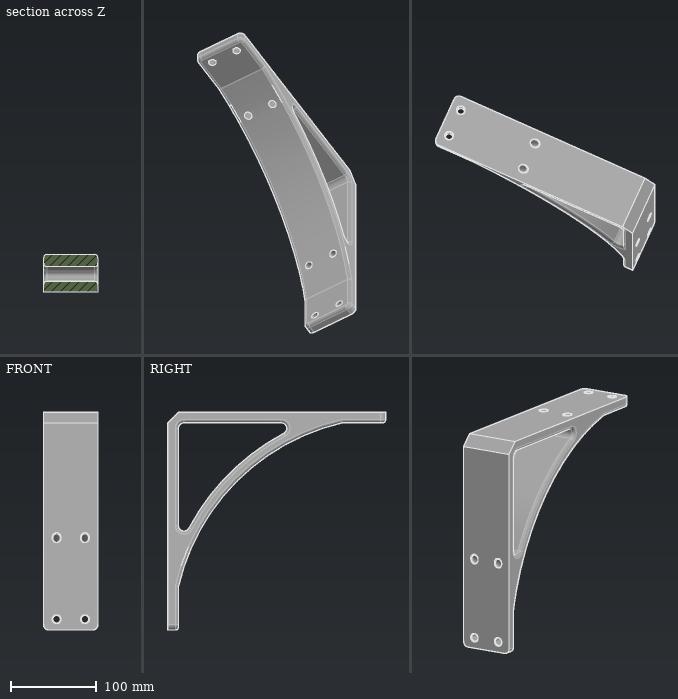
import cadquery as cq
import math

arm_length = 254.0
width = 63.5
thickness = 12.7
outer_chamfer = 12.7
tip_corner_radius = 6.4
edge_radius = 3.8

foot_length = 50.8
brace_radius = 254.0
brace_thickness = 12.7
window_corner_radius = 6.4

hole_diameter = 8.6
hole_chamfer = 0.9
hole_spacing = 33.0
tip_hole_inset = 12.7
brace_hole_inset = 107.7
brace_hole_tilt = 30.0
cutter_length = 76.2

tolerance = 0.03

foot_end = arm_length - foot_length
chord_middle = (foot_end + thickness) / 2
half_chord = (foot_end - thickness) / math.sqrt(2)
centre_offset = chord_middle + math.sqrt((brace_radius**2 - half_chord**2) / 2)
brace_middle = centre_offset - brace_radius / math.sqrt(2)


def make_body():
    """L-shaped arms and the solid gusset bounded by the brace arc."""
    return (
        cq.Workplane("YZ")
        .moveTo(outer_chamfer, 0)
        .lineTo(arm_length, 0)
        .lineTo(arm_length, -thickness)
        .lineTo(foot_end, -thickness)
        .threePointArc((brace_middle, -brace_middle), (thickness, -foot_end))
        .lineTo(thickness, -arm_length)
        .lineTo(0, -arm_length)
        .lineTo(0, -outer_chamfer)
        .close()
        .extrude(width / 2, both=True)
    )


def make_window():
    """Opening between the arms and the brace, with all corners rounded."""
    window_radius = brace_radius + brace_thickness
    middle = centre_offset - window_radius / math.sqrt(2)
    end = centre_offset - math.sqrt(window_radius**2 - (centre_offset - thickness) ** 2)
    return (
        cq.Workplane("YZ")
        .moveTo(thickness, -thickness)
        .lineTo(end, -thickness)
        .threePointArc((middle, -middle), (thickness, -end))
        .close()
        .extrude(width / 2, both=True)
        .edges("|X")
        .fillet(window_corner_radius)
    )


def hole_cutter(x, inset, tilt):
    """Hole through the top arm, leaning toward the arm's tip with depth."""
    angle = math.radians(tilt)
    axis = cq.Vector(0, math.sin(angle), -math.cos(angle))
    entry = cq.Vector(x, arm_length - inset, 0)
    start = entry - axis * hole_diameter
    return cq.Solid.makeCylinder(hole_diameter / 2, cutter_length, start, axis)


def swap_arms(shape):
    """Copy a top-arm feature onto the upright arm by a half turn about Y = -Z."""
    return shape.rotate(cq.Vector(0, 0, 0), cq.Vector(0, 1, -1), 180)


def round_tips(body):
    """Round the two free corners at the end of each arm."""
    body = body.faces(">Y").edges("|Z").fillet(tip_corner_radius)
    return body.faces("<Z").edges("|Y").fillet(tip_corner_radius)


def is_on_inner_outline(edge):
    """True for edges on the inner faces that also lie on a side or a tip of the bracket."""
    point = edge.positionAt(0.5)
    depth_from_back = min(point.y, -point.z)
    at_side = abs(point.x) > width / 2 - tip_corner_radius
    at_tip = max(point.y, -point.z) > arm_length - tip_corner_radius
    return depth_from_back > thickness - tolerance and (at_side or at_tip)


def round_inner_outline(body):
    """Round the inner outline along both sides and around both tips."""
    edges = [edge for edge in body.edges().vals() if is_on_inner_outline(edge)]
    return body.newObject(edges).fillet(edge_radius)


def drill_holes(body):
    """Cut a pair of straight and a pair of leaning holes in each arm."""
    for x in (-hole_spacing / 2, hole_spacing / 2):
        for inset, tilt in ((tip_hole_inset, 0), (brace_hole_inset, brace_hole_tilt)):
            cutter = hole_cutter(x, inset, tilt)
            body = body.cut(cq.Workplane(cutter))
            body = body.cut(cq.Workplane(swap_arms(cutter)))
    return body


def rim_edges(body, face_selector):
    """Edges of every opening in the selected flat faces."""
    faces = body.faces(face_selector).vals()
    rims = [wire for face in faces for wire in face.innerWires()]
    return body.newObject([edge for wire in rims for edge in wire.Edges()])


body = round_inner_outline(round_tips(make_body()))
body = body.cut(make_window())
body = rim_edges(body, "<X or >X").fillet(edge_radius)
body = drill_holes(body)
result = rim_edges(body, ">Z or <Y").chamfer(hole_chamfer)